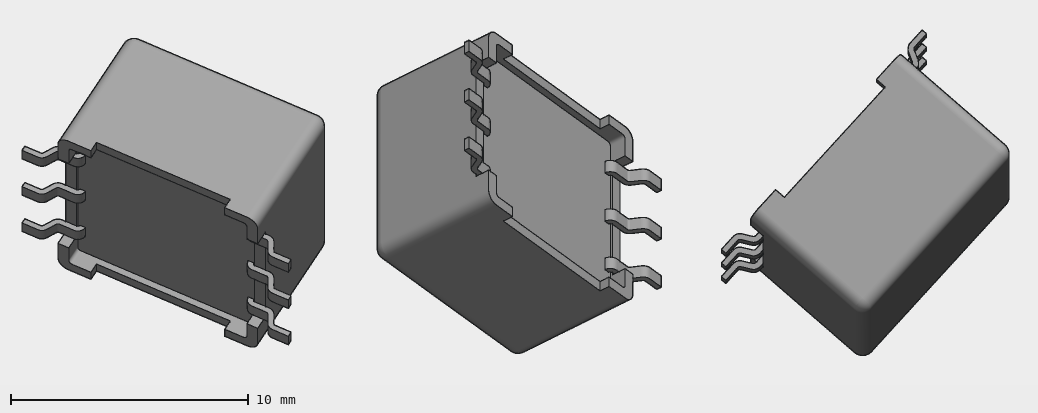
import cadquery as cq
import math

overall_width = 12.7
body_width = 9.52
body_height = 9.0
body_depth = 6.36
edge_radius = 0.51

side_wall = 0.52
end_wall = 0.5
recess_depth = 0.8
recess_corner_radius = 0.17

end_notch_width = 6.38
end_notch_depth = 0.5
side_notch_height = 5.92
side_notch_depth = 0.7

leads_per_side = 3
lead_pitch = 2.54
lead_width = 0.6
lead_thickness = 0.25
inner_bend_radius = 0.13
outer_bend_radius = inner_bend_radius + lead_thickness
foot_length = 0.75
foot_standoff = 0.24
bend_angle = math.radians(62)
lead_inset = 2.48
leg_burial = 0.13



def front_block(width, height, depth):
    """Block reaching from the rim plane to the given depth."""
    return cq.Workplane("XY").box(width, depth, height).translate((0, depth / 2, 0))


def make_body():
    body = front_block(body_width, body_height, body_depth)
    body = body.edges("|Y").fillet(edge_radius)
    body = body.faces(">Y").edges().fillet(edge_radius)

    recess_width = body_width - 2 * side_wall
    recess_height = body_height - 2 * end_wall
    recess = front_block(recess_width, recess_height, recess_depth)
    recess = recess.edges("|Y").fillet(recess_corner_radius)

    end_notches = front_block(end_notch_width, body_height, end_notch_depth)
    side_notches = front_block(body_width, side_notch_height, side_notch_depth)
    return body.cut(recess).cut(end_notches).cut(side_notches)


def arc_point(center, radius, angle):
    """Point on a circle, with the angle measured from +X toward +Y."""
    return (center[0] + radius * math.cos(angle), center[1] + radius * math.sin(angle))


def make_left_lead():
    """Lead on the -X side: foot, sloped riser, flat shelf and leg into the body."""
    tip_x = -overall_width / 2
    foot_front = -foot_standoff
    shelf_back = side_notch_depth
    shelf_front = shelf_back - lead_thickness
    leg_inner_x = tip_x + lead_inset
    leg_outer_x = leg_inner_x - lead_thickness
    leg_end = recess_depth + leg_burial

    bend_radii = inner_bend_radius + outer_bend_radius
    riser_rise = shelf_front - foot_front - bend_radii * (1 - math.cos(bend_angle))
    riser_run = riser_rise / math.tan(bend_angle)

    foot_bend = (tip_x + foot_length, foot_front + outer_bend_radius)
    shelf_bend = (
        foot_bend[0] + bend_radii * math.sin(bend_angle) + riser_run,
        shelf_front - inner_bend_radius,
    )
    leg_bend = (leg_inner_x - outer_bend_radius, shelf_front + outer_bend_radius)

    foot_start = -math.pi / 2
    foot_middle = foot_start + bend_angle / 2
    foot_end = foot_start + bend_angle
    shelf_end = math.pi / 2
    shelf_middle = shelf_end + bend_angle / 2
    shelf_start = shelf_end + bend_angle
    leg_middle = -math.pi / 4

    profile = (
        cq.Workplane("XY")
        .moveTo(tip_x, foot_front)
        .lineTo(*arc_point(foot_bend, outer_bend_radius, foot_start))
        .threePointArc(
            arc_point(foot_bend, outer_bend_radius, foot_middle),
            arc_point(foot_bend, outer_bend_radius, foot_end),
        )
        .lineTo(*arc_point(shelf_bend, inner_bend_radius, shelf_start))
        .threePointArc(
            arc_point(shelf_bend, inner_bend_radius, shelf_middle),
            arc_point(shelf_bend, inner_bend_radius, shelf_end),
        )
        .lineTo(leg_bend[0], shelf_front)
        .threePointArc(
            arc_point(leg_bend, outer_bend_radius, leg_middle),
            (leg_inner_x, leg_bend[1]),
        )
        .lineTo(leg_inner_x, leg_end)
        .lineTo(leg_outer_x, leg_end)
        .lineTo(leg_outer_x, leg_bend[1])
        .threePointArc(
            arc_point(leg_bend, inner_bend_radius, leg_middle),
            (leg_bend[0], shelf_back),
        )
        .lineTo(shelf_bend[0], shelf_back)
        .threePointArc(
            arc_point(shelf_bend, outer_bend_radius, shelf_middle),
            arc_point(shelf_bend, outer_bend_radius, shelf_start),
        )
        .lineTo(*arc_point(foot_bend, inner_bend_radius, foot_end))
        .threePointArc(
            arc_point(foot_bend, inner_bend_radius, foot_middle),
            arc_point(foot_bend, inner_bend_radius, foot_start),
        )
        .lineTo(tip_x, foot_front + lead_thickness)
        .close()
    )
    return profile.extrude(lead_width / 2, both=True)


left_lead = make_left_lead()
right_lead = left_lead.mirror("YZ")

result = make_body()
for index in range(leads_per_side):
    lead_z = (index - (leads_per_side - 1) / 2) * lead_pitch
    for lead in (left_lead, right_lead):
        result = result.union(lead.translate((0, 0, lead_z)))